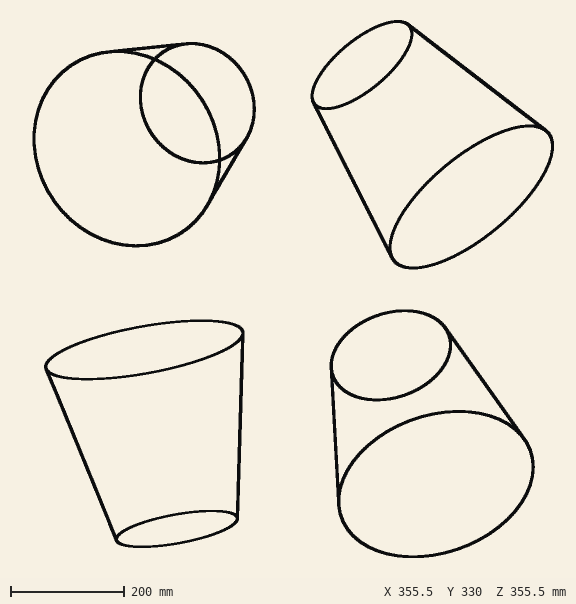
import cadquery as cq

large_diameter = 355.5
small_diameter = 219.0
length = 330.0
wall = 2.0

large_radius = large_diameter / 2
small_radius = small_diameter / 2
large_end_y = -length / 2
small_end_y = length / 2


def tapered_shell():
    """Conical wall: a sloping strip of constant radial thickness turned about the Y axis."""
    strip = (
        cq.Workplane("XY")
        .moveTo(large_radius - wall, large_end_y)
        .lineTo(large_radius, large_end_y)
        .lineTo(small_radius, small_end_y)
        .lineTo(small_radius - wall, small_end_y)
        .close()
    )
    return strip.revolve(360, (0, 0, 0), (0, 1, 0))


result = tapered_shell()